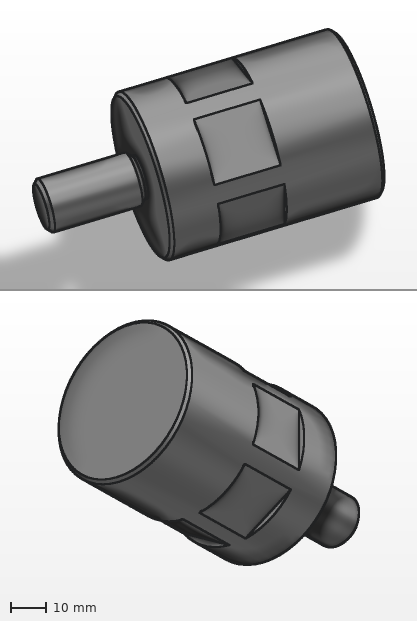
import cadquery as cq
import math

total_length = 95.0
body_diameter = 50.0
body_length = 65.0
body_chamfer = 1.0
pin_diameter = 16.0
pin_tip_diameter = 13.5
neck_diameter = 13.0
neck_length = 0.9
flat_count = 6
across_flats = 46.0
flat_length = 20.0
flat_to_front = 15.0

body_radius = body_diameter / 2
pin_radius = pin_diameter / 2
pin_tip_radius = pin_tip_diameter / 2
neck_radius = neck_diameter / 2
pin_chamfer = pin_radius - pin_tip_radius
neck_taper = pin_radius - neck_radius

tip_y = -total_length / 2
back_y = total_length / 2
front_y = back_y - body_length
neck_y = front_y - neck_length


def turned_shape():
    """Body, undercut neck and pin revolved around the Y axis."""
    half_profile = [
        (0, tip_y),
        (pin_tip_radius, tip_y),
        (pin_radius, tip_y + pin_chamfer),
        (pin_radius, neck_y - neck_taper),
        (neck_radius, neck_y),
        (neck_radius, front_y),
        (body_radius - body_chamfer, front_y),
        (body_radius, front_y + body_chamfer),
        (body_radius, back_y - body_chamfer),
        (body_radius - body_chamfer, back_y),
        (0, back_y),
    ]
    profile = cq.Workplane("XY").polyline(half_profile).close()
    return profile.revolve(360, (0, 0, 0), (0, 1, 0))


def wrench_flat_cutter():
    """Ring whose hexagonal opening leaves flats facing +X and -X."""
    across_corners = across_flats / math.cos(math.pi / flat_count)
    flats_start = cq.Workplane("XZ", origin=(0, front_y + flat_to_front, 0))
    ring = flats_start.circle(body_diameter).extrude(-flat_length)
    hexagon = (
        flats_start.transformed(rotate=(0, 0, 180 / flat_count))
        .polygon(flat_count, across_corners)
        .extrude(-flat_length)
    )
    return ring.cut(hexagon)


result = turned_shape().cut(wrench_flat_cutter())